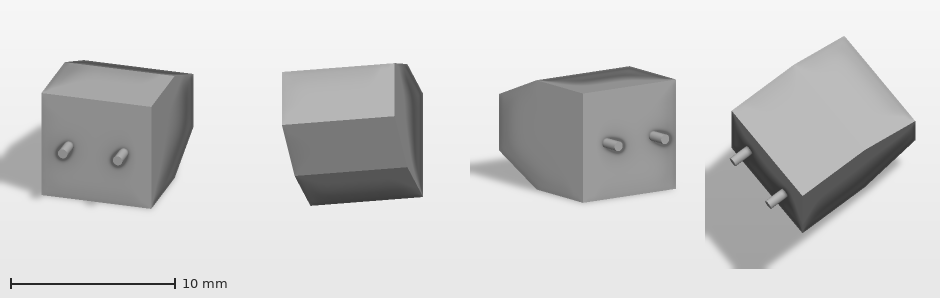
import cadquery as cq

width = 7.0
height = 6.8
body_length = 8.72
taper_length = 3.9
nose_bottom = 1.77
nose_height = 3.5
pin_length = 1.28
pin_diameter = 0.6
pin_spacing = width / 2
pin_height = nose_bottom + nose_height / 2


def make_body():
    """Block whose top and bottom slope in towards the nose."""
    taper_start = body_length - taper_length
    side_outline = [
        (0, 0),
        (taper_start, 0),
        (body_length, nose_bottom),
        (body_length, nose_bottom + nose_height),
        (taper_start, height),
        (0, height),
    ]
    return cq.Workplane("YZ").polyline(side_outline).close().extrude(width / 2, both=True)


def make_pins():
    """Two round pins standing out of the -Y face."""
    pin_centers = [(-pin_spacing / 2, pin_height), (pin_spacing / 2, pin_height)]
    return cq.Workplane("XZ").pushPoints(pin_centers).circle(pin_diameter / 2).extrude(pin_length)


result = make_body().union(make_pins())